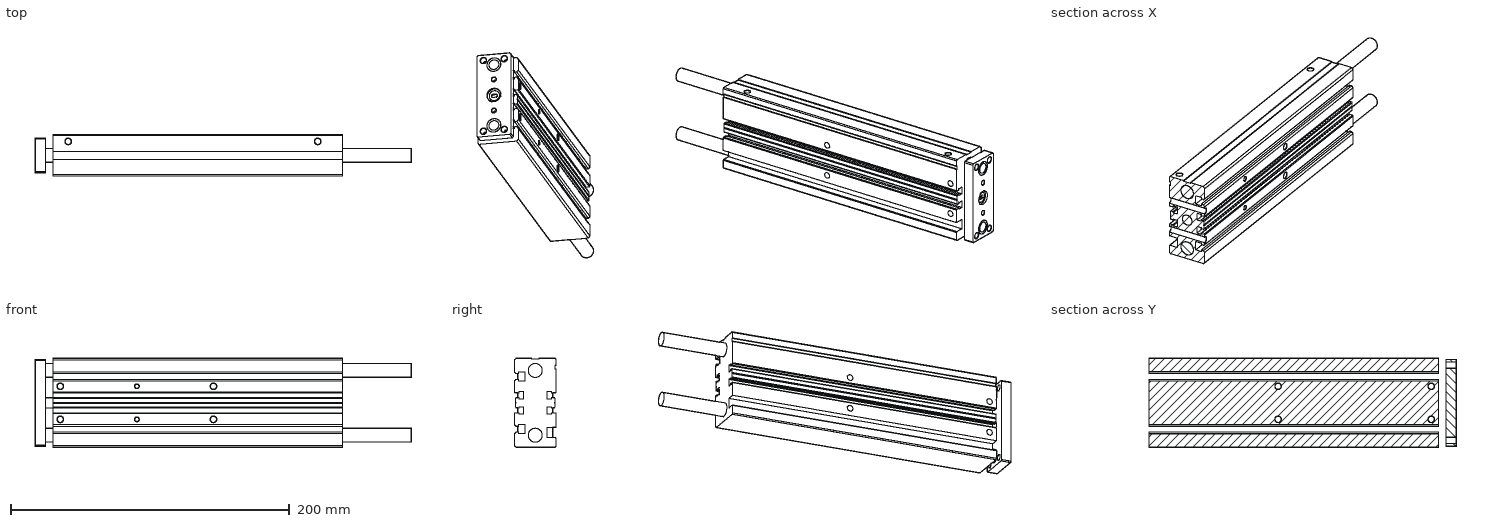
import cadquery as cq
import math

total_length = 270.0

plate_thickness = 7.5
plate_width = 25.0
plate_height = 62.5
plate_chamfer = 0.8

housing_start = 12.7
housing_end = 220.5
housing_length = housing_end - housing_start
housing_width = 30.0
housing_height = 64.0
front_edge_chamfer = 1.4
rear_edge_chamfer = 0.8
face_y = housing_width / 2
face_z = housing_height / 2

guide_diameter = 10.0
guide_spigot_diameter = 7.3
guide_spacing = 46.5
guide_heights = (-guide_spacing / 2, guide_spacing / 2)
guide_recess_diameter = 10.3
guide_recess_depth = 0.3
piston_diameter = 7.5
piston_end = (housing_start + housing_end) / 2
piston_recess_diameter = 10.3
piston_recess_depth = 1.5
driver_slot_length = 4.3
driver_slot_width = 2.5
driver_slot_depth = 1.4

side_slot_z = 19.0
side_slot_mouth = 4.0
side_slot_bevel = 1.22
side_slot_lip = 3.0
side_slot_cavity = 6.5
side_slot_depth = 7.5

rib_slot_z = 5.5
rib_slot_mouth = 3.5
rib_slot_bevel = 0.5
rib_slot_lip = 3.2
rib_slot_cavity = 5.0
rib_slot_depth = 6.5

rib_half_width = rib_slot_z - rib_slot_mouth / 2
rib_recess = 0.8
rib_bevel = 0.5
rib_groove_half_width = 0.4
rib_groove_depth = 0.3

rear_slot_top = -17.5
rear_slot_bottom = -24.8
rear_slot_depth = 6.5
rear_slot_bevel = 0.5
rear_groove_z = 25.6
rear_groove_width = 2.5
rear_groove_depth = 0.8

top_groove_width = 5.7
top_groove_depth = 0.5

hole_row_z = 12.0
mount_hole_diameter = 4.3
mount_hole_x = 18.0
mount_hole_pitch = 110.0
tapped_hole_diameter = 3.0
tapped_hole_depth = 5.5
port_diameter = 4.3
port_depth = 5.5
port_x = 23.8
port_pitch = 179.0
port_y = 10.0
corner_hole_diameter = 4.3
corner_hole_y = 7.7
corner_hole_z = 27.0
pin_hole_diameter = 3.2
pin_hole_depth = 5.5
hole_mouth_chamfer = 0.3
drill_point_angle = 118.0


def rod_along_x(diameter, start, end, z=0.0):
    """Round bar along X from start to end, at height z."""
    section = cq.Plane(origin=(start, 0, z), xDir=(0, 0, 1), normal=(1, 0, 0))
    return cq.Workplane(section).circle(diameter / 2).extrude(end - start)


def drilled_hole(diameter, depth, mouth, direction, pointed=True):
    """Cutter for a hole with a chamfered mouth; a pointed one ends in a drill cone."""
    radius = diameter / 2
    mouth_radius = radius + hole_mouth_chamfer
    tip = radius / math.tan(math.radians(drill_point_angle / 2)) if pointed else 0.0
    outline = cq.Workplane("XZ").lineTo(mouth_radius, 0).lineTo(radius, hole_mouth_chamfer)
    outline = outline.lineTo(radius, depth).lineTo(0, depth + tip).close()
    cutter = outline.revolve(360, (0, 0, 0), (0, 1, 0)).val()
    return cutter.moved(cq.Location(cq.Plane(origin=mouth, normal=direction)))


def along_housing(points):
    """Cutter with the given (y, z) outline, as long as the housing."""
    return cq.Workplane("YZ", origin=(housing_start, 0, 0)).polyline(points).close().extrude(housing_length)


def on_face(side, outline):
    """Turn (depth, z) points into (y, z) points below the face on the side * Y side."""
    return [(side * (face_y - depth), z) for depth, z in outline]


def t_slot(side, z, mouth, bevel, lip, cavity, depth):
    """Cutter for a T-slot with a bevelled mouth."""
    half = mouth / 2
    upper = [(0, half + bevel), (bevel, half), (lip, half), (lip, cavity / 2), (depth, cavity / 2)]
    lower = [(d, -offset) for d, offset in reversed(upper)]
    return along_housing(on_face(side, [(d, z + offset) for d, offset in upper + lower]))


def rib_relief(side):
    """Cutter that sets the central rib back and shapes its edges and V-groove."""
    upper = [
        (0, rib_half_width),
        (rib_recess + rib_bevel, rib_half_width),
        (rib_recess, rib_half_width - rib_bevel),
        (rib_recess, rib_groove_half_width),
    ]
    groove_bottom = [(rib_recess + rib_groove_depth, 0)]
    lower = [(d, -z) for d, z in reversed(upper)]
    return along_housing(on_face(side, upper + groove_bottom + lower))


def rear_slot():
    """Cutter for the rear slot, bevelled along its lower mouth edge."""
    outline = [
        (0, rear_slot_top),
        (rear_slot_depth, rear_slot_top),
        (rear_slot_depth, rear_slot_bottom),
        (rear_slot_bevel, rear_slot_bottom),
        (0, rear_slot_bottom - rear_slot_bevel),
    ]
    return along_housing(on_face(1, outline))


def rear_groove():
    """Cutter for the shallow groove high on the rear face."""
    low = rear_groove_z - rear_groove_width / 2
    high = rear_groove_z + rear_groove_width / 2
    outline = [(0, low), (rear_groove_depth, low), (rear_groove_depth, high), (0, high)]
    return along_housing(on_face(1, outline))


def top_groove():
    """Cutter for the shallow groove along the middle of the top face."""
    half = top_groove_width / 2
    floor = face_z - top_groove_depth
    return along_housing([(-half, floor), (half, floor), (half, face_z), (-half, face_z)])


def housing_holes():
    """Cutters for the mounting holes, the tapped holes midway between them and the air ports."""
    cutters = []
    into_front = (0, 1, 0)
    for z in (-hole_row_z, hole_row_z):
        for x in (mount_hole_x, mount_hole_x + mount_hole_pitch):
            mouth = (x, -face_y, z)
            cutters.append(drilled_hole(mount_hole_diameter, housing_width, mouth, into_front, pointed=False))
        mouth = (mount_hole_x + mount_hole_pitch / 2, -face_y, z)
        cutters.append(drilled_hole(tapped_hole_diameter, tapped_hole_depth, mouth, into_front))
    for x in (port_x, port_x + port_pitch):
        cutters.append(drilled_hole(port_diameter, port_depth, (x, port_y, face_z), (0, 0, -1)))
    return cutters


def make_housing():
    body = cq.Workplane(origin=(housing_start, 0, 0)).box(
        housing_length, housing_width, housing_height, centered=(False, True, True)
    )
    body = body.faces("<Y").edges("|X").chamfer(front_edge_chamfer)
    body = body.faces(">Y").edges("|X").chamfer(rear_edge_chamfer)

    for z in (-side_slot_z, side_slot_z):
        body = body.cut(
            t_slot(-1, z, side_slot_mouth, side_slot_bevel, side_slot_lip, side_slot_cavity, side_slot_depth)
        )
    for side in (-1, 1):
        for z in (-rib_slot_z, rib_slot_z):
            body = body.cut(
                t_slot(side, z, rib_slot_mouth, rib_slot_bevel, rib_slot_lip, rib_slot_cavity, rib_slot_depth)
            )
        body = body.cut(rib_relief(side))
    body = body.cut(rear_slot()).cut(rear_groove()).cut(top_groove())

    for cutter in housing_holes():
        body = body.cut(cq.Workplane(cutter))

    for z in guide_heights:
        body = body.cut(rod_along_x(guide_diameter, housing_start, housing_end, z))
    return body.cut(rod_along_x(piston_diameter, housing_start, piston_end))


def plate_holes():
    """Cutters for the corner through holes and the blind pin holes, all from the front end."""
    cutters = []
    into_plate = (1, 0, 0)
    for z_side in (-1, 1):
        for y_side in (-1, 1):
            mouth = (0, y_side * corner_hole_y, z_side * corner_hole_z)
            hole = drilled_hole(corner_hole_diameter, plate_thickness, mouth, into_plate, pointed=False)
            cutters.append(hole)
        mouth = (0, 0, z_side * hole_row_z)
        cutters.append(drilled_hole(pin_hole_diameter, pin_hole_depth, mouth, into_plate))
    return cutters


def make_plate():
    body = cq.Workplane().box(plate_thickness, plate_width, plate_height, centered=(False, True, True))
    body = body.edges("|X").chamfer(plate_chamfer)
    for cutter in plate_holes():
        body = body.cut(cq.Workplane(cutter))

    for z in guide_heights:
        body = body.cut(rod_along_x(guide_spigot_diameter, 0, plate_thickness, z))
        body = body.cut(rod_along_x(guide_recess_diameter, 0, guide_recess_depth, z))
    body = body.cut(rod_along_x(piston_diameter, 0, plate_thickness))
    return body.cut(rod_along_x(piston_recess_diameter, 0, piston_recess_depth))


def make_guide_rod(z):
    """Guide rod with a thinner spigot that fills the plate hole up to its recess."""
    shaft = rod_along_x(guide_diameter, plate_thickness, total_length, z)
    return shaft.union(rod_along_x(guide_spigot_diameter, guide_recess_depth, plate_thickness, z))


def make_piston_rod():
    """Piston rod with a round-ended driver slot in its front end, ending halfway along the housing."""
    front = cq.Workplane("YZ", origin=(piston_recess_depth, 0, 0))
    slot = front.slot2D(driver_slot_length, driver_slot_width).extrude(driver_slot_depth)
    return rod_along_x(piston_diameter, piston_recess_depth, piston_end).cut(slot)


housing = make_housing()
plate = make_plate()
piston_rod = make_piston_rod()
guide_rods = [make_guide_rod(z).val() for z in guide_heights]

result = cq.Compound.makeCompound([housing.val(), plate.val(), piston_rod.val(), *guide_rods])